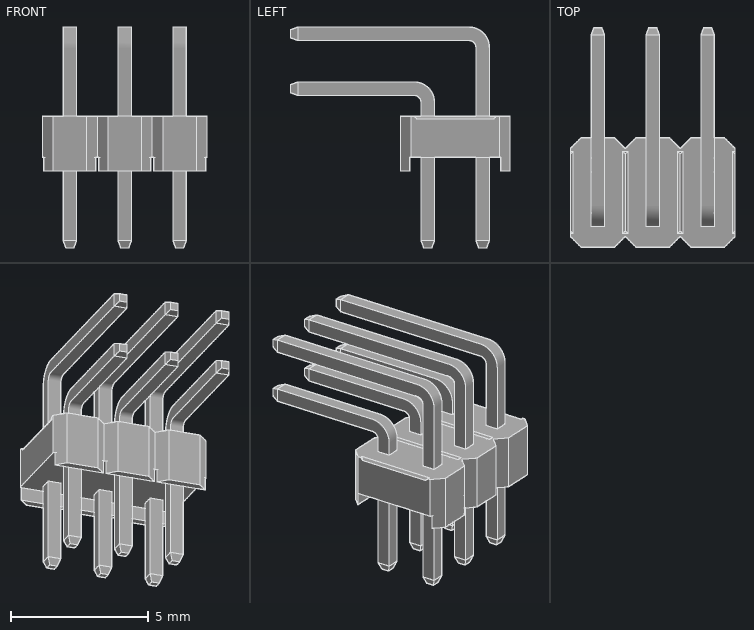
import cadquery as cq
import math

overall_width = 6.0
overall_depth = 8.0
overall_height = 8.05
columns = 3
pitch = overall_width / columns

body_depth = 2 * pitch
body_height = pitch
corner_chamfer = 0.395
channel_height = 0.5
foot_depth = 0.35

groove_depth = 0.1
groove_half_width = groove_depth
groove_end_margin = 0.105
groove_end_run = groove_depth

pin_size = 0.5
bend_inner_radius = 0.25
bend_outer_radius = bend_inner_radius + pin_size
tip_length = 0.27
tip_size = 0.3
tip_taper = math.degrees(math.atan2((pin_size - tip_size) / 2, tip_length))

front_row_y = -pitch / 2
back_row_y = pitch / 2
front_row_z = body_height + 1.5 * pitch
back_row_z = front_row_z - pitch
pin_bottom_z = front_row_z + pin_size / 2 - overall_height
pin_end_y = overall_depth - body_depth / 2
column_xs = [(i - (columns - 1) / 2) * pitch for i in range(columns)]
boundary_xs = [(i - columns / 2) * pitch for i in range(columns + 1)]

on_base_plane = (True, True, False)


def body_column(x):
    """One octagonal block of the body."""
    block = cq.Workplane("XY").box(pitch, body_depth, body_height, centered=on_base_plane)
    return block.edges("|Z").chamfer(corner_chamfer).translate((x, 0, 0))


def underside_channel():
    """Channel along X that leaves a row of feet at the front and back."""
    channel_width = body_depth - 2 * foot_depth
    return cq.Workplane("XY").box(overall_width, channel_width, channel_height, centered=on_base_plane)


def top_groove(x):
    """V groove along Y with sloping ends."""
    top_half_length = body_depth / 2 - corner_chamfer - groove_end_margin
    floor_half_length = top_half_length - groove_end_run
    floor_z = body_height - groove_depth
    cross_section = (
        cq.Workplane("XZ")
        .polyline([(-groove_half_width, body_height), (groove_half_width, body_height), (0, floor_z)])
        .close()
        .extrude(top_half_length, both=True)
    )
    long_section = (
        cq.Workplane("YZ")
        .moveTo(-top_half_length, body_height)
        .lineTo(top_half_length, body_height)
        .lineTo(floor_half_length, floor_z)
        .lineTo(-floor_half_length, floor_z)
        .close()
        .extrude(groove_half_width, both=True)
    )
    return cross_section.intersect(long_section).translate((x, 0, 0))


def pin_tip(base_center, direction):
    """Tapered square tip that starts at base_center and points along direction."""
    plane = cq.Plane(origin=base_center, xDir=(1, 0, 0), normal=direction)
    return cq.Workplane(plane).rect(pin_size, pin_size).extrude(tip_length, taper=tip_taper)


def bent_pin(x, row_y, row_z):
    """Right-angle pin: upright at row_y, level at row_z, tapered at both ends."""
    half = pin_size / 2
    upright_start = pin_bottom_z + tip_length
    level_end = pin_end_y - tip_length
    bend_y = row_y - half + bend_outer_radius
    bend_z = row_z + half - bend_outer_radius
    shaft = (
        cq.Workplane("YZ", origin=(x, 0, 0))
        .moveTo(row_y - half, upright_start)
        .lineTo(row_y - half, bend_z)
        .radiusArc((bend_y, row_z + half), bend_outer_radius)
        .lineTo(level_end, row_z + half)
        .lineTo(level_end, row_z - half)
        .lineTo(bend_y, row_z - half)
        .radiusArc((row_y + half, bend_z), -bend_inner_radius)
        .lineTo(row_y + half, upright_start)
        .close()
        .extrude(half, both=True)
    )
    lower_tip = pin_tip((x, row_y, upright_start), (0, 0, -1))
    level_tip = pin_tip((x, level_end, row_z), (0, 1, 0))
    return shaft.union(lower_tip).union(level_tip)


body = body_column(column_xs[0])
for column_x in column_xs[1:]:
    body = body.union(body_column(column_x))
body = body.cut(underside_channel())
for boundary_x in boundary_xs:
    body = body.cut(top_groove(boundary_x))

result = body
for column_x in column_xs:
    result = result.union(bent_pin(column_x, front_row_y, front_row_z))
    result = result.union(bent_pin(column_x, back_row_y, back_row_z))